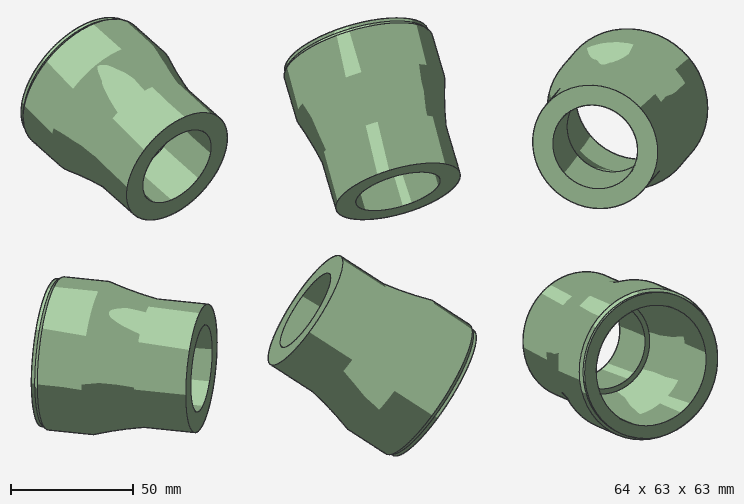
import cadquery as cq

length = 64.0

large_diameter = 63.0
small_diameter = 52.8
lip_diameter = 60.85

large_bore_diameter = 50.2
throat_diameter = 40.0
small_bore_diameter = 35.7

lip_end = 1.5
chamfer_end = 2.8
taper_start = 21.6
taper_end = 42.4

bore_taper_start = 18.8
bore_taper_end = 40.95

taper_sag = 0.4
bore_taper_sag = 0.48


def taper_middle(start_x, start_diameter, end_x, end_diameter, sag):
    """Middle point of a curved taper, as (x, radius)."""
    middle_x = (start_x + end_x) / 2
    middle_radius = (start_diameter + end_diameter) / 4 - sag
    return (middle_x, middle_radius)


outer_middle = taper_middle(taper_start, large_diameter, taper_end, small_diameter, taper_sag)
bore_middle = taper_middle(
    bore_taper_start, large_bore_diameter, bore_taper_end, throat_diameter, bore_taper_sag
)

half_section = (
    cq.Workplane("XY")
    .moveTo(0, large_bore_diameter / 2)
    .lineTo(0, lip_diameter / 2)
    .lineTo(lip_end, lip_diameter / 2)
    .lineTo(chamfer_end, large_diameter / 2)
    .lineTo(taper_start, large_diameter / 2)
    .threePointArc(outer_middle, (taper_end, small_diameter / 2))
    .lineTo(length, small_diameter / 2)
    .lineTo(length, small_bore_diameter / 2)
    .lineTo(bore_taper_end, small_bore_diameter / 2)
    .lineTo(bore_taper_end, throat_diameter / 2)
    .threePointArc(bore_middle, (bore_taper_start, large_bore_diameter / 2))
    .close()
)

result = half_section.revolve(360, (0, 0, 0), (1, 0, 0))